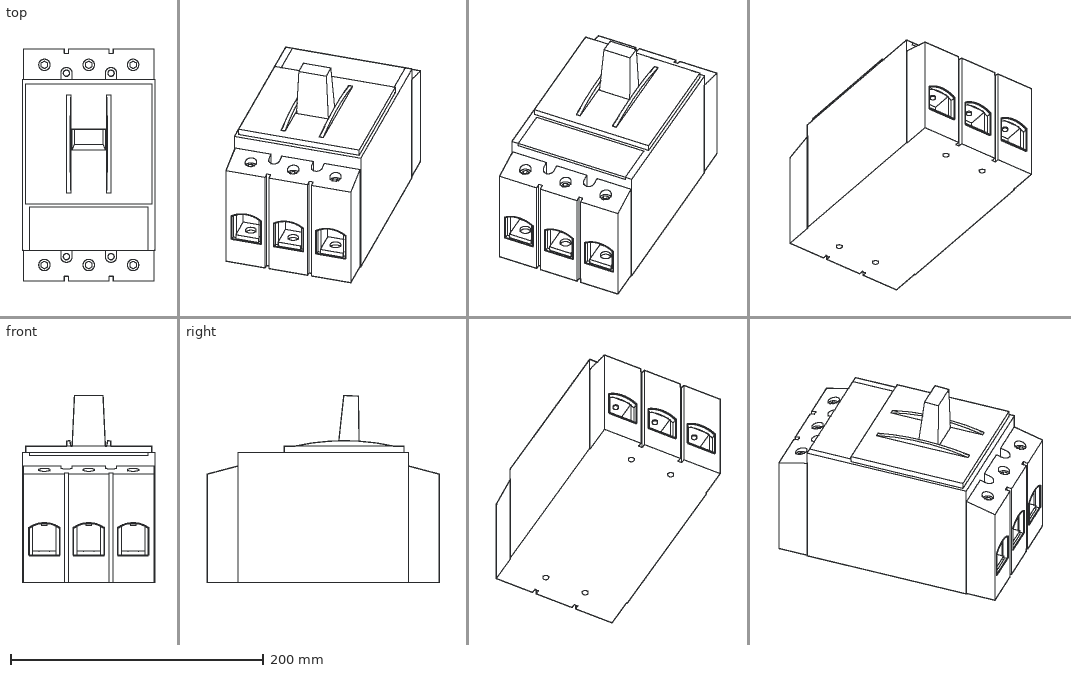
import cadquery as cq
import math

LENGTH = 184.0
BODY_WIDTH = 105.0
BODY_LENGTH = 135.5
BODY_HEIGHT = 103.0
SHROUD_WIDTH = 103.8
SHROUD_TOP_INNER = 92.2
SHROUD_TOP_OUTER = 86.0
SHROUD_LEDGE = 0.5

POLE_PITCH = 35.1
POLE_X = [-POLE_PITCH, 0, POLE_PITCH]
POLE_GAP_OFFSET = 17.7
POLE_GAP_X = [-POLE_GAP_OFFSET, POLE_GAP_OFFSET]
TERMINAL_Y = 79.3
GROOVE_WIDTH = 3.1
GROOVE_DEPTH = 3.7

MOUNT_Y = 72.7
MOUNT_HOLE_DIAMETER = 4.8
MOUNT_SLOT_WIDTH = 9.0
MOUNT_FLOOR = 73.6

ACCESS_DIAMETER = 9.0
ACCESS_FLOOR = 85.5
SOCKET_SIDES = 6
SOCKET_ACROSS_FLATS = 5.2
SOCKET_DEPTH = 2.8

LIP_WIDTH = 25.0
LIP_DEPTH = 0.7
LIP_FLOOR = 21.9
LIP_SPRING = 43.5
LIP_CROWN = 47.5
WELL_INSET = 0.5
WELL_END = 4.5
WELL_FLOOR = 21.2
CHAMBER_WIDTH = 18.8
CHAMBER_END = 22.0
CHAMBER_TOP = 46.2
PAD_TOP = 24.8
PAD_FRONT = 2.8
PAD_HOLE_DIAMETER = 8.5
PAD_HOLE_DEPTH = 2.8
SCREW_TIP_DIAMETER = 4.5
SCREW_TIP_BOTTOM = 45.0

LABEL_WIDTH = 93.8
LABEL_LENGTH = 34.2
LABEL_THICKNESS = 2.4

COVER_WIDTH = 100.1
COVER_FRONT = -31.1
COVER_BACK = 64.0
COVER_THICKNESS = 5.0
RAIL_OUTER_X = 17.5
RAIL_BASE_WIDTH = 3.3
RAIL_TOP_WIDTH = 2.5
RAIL_FRONT = -22.3
RAIL_BACK = 55.5
RAIL_END_HEIGHT = 0.2
RAIL_HEIGHT = 4.5

HANDLE_TOP_FRONT = 148.3
HANDLE_TOP_BACK = 147.8
HANDLE_BASE_WIDTH = 26.5
HANDLE_TOP_WIDTH = 22.8
HANDLE_BASE_FRONT = 11.8
HANDLE_BASE_BACK = 28.5
HANDLE_TOP_FRONT_Y = 16.2
HANDLE_TOP_BACK_Y = 28.0

END_Y = LENGTH / 2
BODY_END_Y = BODY_LENGTH / 2
COVER_TOP = BODY_HEIGHT + COVER_THICKNESS


def box(width, y_start, y_end, z_start, z_end):
    """Box centred on X = 0 between the given Y and Z limits."""
    return (
        cq.Workplane("XY", origin=(0, (y_start + y_end) / 2, z_start))
        .rect(width, y_end - y_start)
        .extrude(z_end - z_start)
    )


def at_both_ends(tool):
    """The front-end tool together with its mirror image at the back end."""
    return [tool, tool.mirror("XZ")]


def make_shell():
    """Main block between two shrouds with sloping tops."""
    slope_start = BODY_END_Y + SHROUD_LEDGE
    shrouds = (
        cq.Workplane("YZ", origin=(-SHROUD_WIDTH / 2, 0, 0))
        .moveTo(-END_Y, 0)
        .lineTo(END_Y, 0)
        .lineTo(END_Y, SHROUD_TOP_OUTER)
        .lineTo(slope_start, SHROUD_TOP_INNER)
        .lineTo(-slope_start, SHROUD_TOP_INNER)
        .lineTo(-END_Y, SHROUD_TOP_OUTER)
        .close()
        .extrude(SHROUD_WIDTH)
    )
    return shrouds.union(box(BODY_WIDTH, -BODY_END_Y, BODY_END_Y, 0, BODY_HEIGHT))


def pole_groove():
    """Full-height groove in the front end face."""
    return box(GROOVE_WIDTH, -END_Y, -END_Y + GROOVE_DEPTH, 0, BODY_HEIGHT)


def mounting_cut():
    """Round-ended recess against the main block, with a hole through the housing."""
    depth = BODY_HEIGHT - MOUNT_FLOOR
    floor = cq.Workplane("XY", origin=(0, -MOUNT_Y, MOUNT_FLOOR))
    round_end = floor.circle(MOUNT_SLOT_WIDTH / 2).extrude(depth)
    slot = box(MOUNT_SLOT_WIDTH, -MOUNT_Y, -BODY_END_Y, MOUNT_FLOOR, BODY_HEIGHT)
    hole = cq.Workplane("XY", origin=(0, -MOUNT_Y, 0)).circle(MOUNT_HOLE_DIAMETER / 2).extrude(BODY_HEIGHT)
    return round_end.union(slot).union(hole)


def screw_access_cut():
    """Access hole from the sloping top, with a hexagon socket in its floor."""
    floor = cq.Workplane("XY", origin=(0, -TERMINAL_Y, ACCESS_FLOOR))
    access = floor.circle(ACCESS_DIAMETER / 2).extrude(BODY_HEIGHT - ACCESS_FLOOR)
    half_side_angle = 180 / SOCKET_SIDES
    across_corners = SOCKET_ACROSS_FLATS / math.cos(math.radians(half_side_angle))
    socket = (
        cq.Workplane("XY", origin=(0, -TERMINAL_Y, ACCESS_FLOOR - SOCKET_DEPTH))
        .transformed(rotate=(0, 0, half_side_angle))
        .polygon(SOCKET_SIDES, across_corners)
        .extrude(SOCKET_DEPTH)
    )
    return access.union(socket)


def arched_cut(width, floor, spring, crown, depth):
    """Arch-topped pocket going in from the front end face."""
    return (
        cq.Workplane("XZ", origin=(0, -END_Y, 0))
        .moveTo(-width / 2, floor)
        .lineTo(width / 2, floor)
        .lineTo(width / 2, spring)
        .threePointArc((0, crown), (-width / 2, spring))
        .close()
        .extrude(-depth)
    )


def wire_opening_cut():
    """Stepped opening that leaves a drilled terminal pad and, at the ceiling, a screw tip."""
    lip = arched_cut(LIP_WIDTH, LIP_FLOOR, LIP_SPRING, LIP_CROWN, LIP_DEPTH)
    well_width = LIP_WIDTH - 2 * WELL_INSET
    well_spring = LIP_SPRING - WELL_INSET
    well_crown = LIP_CROWN - WELL_INSET
    well = arched_cut(well_width, WELL_FLOOR, well_spring, well_crown, WELL_END)
    sill = box(well_width, -END_Y, -END_Y + LIP_DEPTH, WELL_FLOOR, LIP_FLOOR)
    pad = box(CHAMBER_WIDTH, -END_Y + PAD_FRONT, -END_Y + WELL_END, WELL_FLOOR, PAD_TOP)
    chamber = box(CHAMBER_WIDTH, -END_Y + WELL_END, -END_Y + CHAMBER_END, PAD_TOP, CHAMBER_TOP)
    pad_hole = (
        cq.Workplane("XY", origin=(0, -TERMINAL_Y, PAD_TOP - PAD_HOLE_DEPTH))
        .circle(PAD_HOLE_DIAMETER / 2)
        .extrude(PAD_HOLE_DEPTH)
    )
    screw_tip = (
        cq.Workplane("XY", origin=(0, -TERMINAL_Y, SCREW_TIP_BOTTOM))
        .circle(SCREW_TIP_DIAMETER / 2)
        .extrude(CHAMBER_TOP - SCREW_TIP_BOTTOM)
    )
    return well.cut(sill).cut(pad).union(lip).union(chamber).union(pad_hole).cut(screw_tip)


def make_label():
    """Flat plate, level with the top and the front face of the main block."""
    label_back = -BODY_END_Y + LABEL_LENGTH
    label_bottom = BODY_HEIGHT - LABEL_THICKNESS
    return box(LABEL_WIDTH, -BODY_END_Y, label_back, label_bottom, BODY_HEIGHT)


def make_housing():
    """Shell with its grooves, mounting holes and terminals cut, and a seat for the label."""
    housing = make_shell()
    for x in POLE_GAP_X:
        for cut in at_both_ends(pole_groove()) + at_both_ends(mounting_cut()):
            housing = housing.cut(cut.translate((x, 0, 0)))
    for x in POLE_X:
        for cut in at_both_ends(screw_access_cut()) + at_both_ends(wire_opening_cut()):
            housing = housing.cut(cut.translate((x, 0, 0)))
    return housing.cut(make_label())


def guide_rail():
    """Right-hand rail: arched along Y, with its inner face leaning outwards."""
    arch = (
        cq.Workplane("YZ")
        .moveTo(RAIL_FRONT, COVER_TOP)
        .lineTo(RAIL_BACK, COVER_TOP)
        .lineTo(RAIL_BACK, COVER_TOP + RAIL_END_HEIGHT)
        .threePointArc(
            ((RAIL_FRONT + RAIL_BACK) / 2, COVER_TOP + RAIL_HEIGHT),
            (RAIL_FRONT, COVER_TOP + RAIL_END_HEIGHT),
        )
        .close()
        .extrude(RAIL_OUTER_X)
    )
    section = (
        cq.Workplane("XZ", origin=(0, RAIL_BACK, 0))
        .moveTo(RAIL_OUTER_X, COVER_TOP)
        .lineTo(RAIL_OUTER_X, COVER_TOP + RAIL_HEIGHT)
        .lineTo(RAIL_OUTER_X - RAIL_TOP_WIDTH, COVER_TOP + RAIL_HEIGHT)
        .lineTo(RAIL_OUTER_X - RAIL_BASE_WIDTH, COVER_TOP)
        .close()
        .extrude(RAIL_BACK - RAIL_FRONT)
    )
    return arch.intersect(section)


def make_cover():
    """Plate on the main block, with a rail on each side of the handle."""
    plate = box(COVER_WIDTH, COVER_FRONT, COVER_BACK, BODY_HEIGHT, COVER_TOP)
    rail = guide_rail()
    return plate.union(rail).union(rail.mirror("YZ"))


def make_handle():
    """Tapered lever standing on the cover, with a slightly tilted top."""
    side = (
        cq.Workplane("YZ", origin=(-HANDLE_BASE_WIDTH / 2, 0, 0))
        .moveTo(HANDLE_BASE_FRONT, COVER_TOP)
        .lineTo(HANDLE_BASE_BACK, COVER_TOP)
        .lineTo(HANDLE_TOP_BACK_Y, HANDLE_TOP_BACK)
        .lineTo(HANDLE_TOP_FRONT_Y, HANDLE_TOP_FRONT)
        .close()
        .extrude(HANDLE_BASE_WIDTH)
    )
    face = (
        cq.Workplane("XZ", origin=(0, HANDLE_BASE_BACK, 0))
        .moveTo(-HANDLE_BASE_WIDTH / 2, COVER_TOP)
        .lineTo(HANDLE_BASE_WIDTH / 2, COVER_TOP)
        .lineTo(HANDLE_TOP_WIDTH / 2, HANDLE_TOP_FRONT)
        .lineTo(-HANDLE_TOP_WIDTH / 2, HANDLE_TOP_FRONT)
        .close()
        .extrude(HANDLE_BASE_BACK - HANDLE_BASE_FRONT)
    )
    return side.intersect(face)


housing = make_housing()
label = make_label()
cover = make_cover()
handle = make_handle()

result = cq.Compound.makeCompound([housing.val(), label.val(), cover.val(), handle.val()])